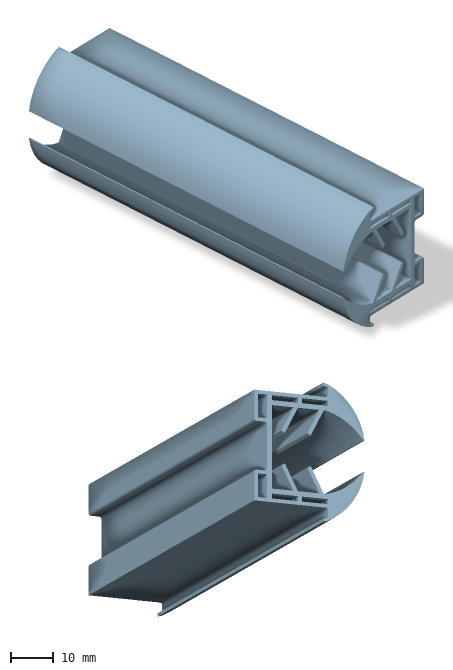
import cadquery as cq
import math

length = 100.0
depth = 28.1
half_height = 33.7 / 2

skin = 0.9
wall = 1.2
flange_top = 13.4
back_chamber_width = 2.4
back_chamber_height = 5.7
flange_chamber_length = 6.7
flange_chamber_height = 1.2
flange_chamber_count = 2
corner_radius = 0.6

web_back = skin + back_chamber_width
web_front = web_back + wall
chamber_top = flange_top - skin
flange_bottom = chamber_top - flange_chamber_height - wall
back_box_bottom = chamber_top - back_chamber_height - skin
chamber_pitch = flange_chamber_length + skin
neck_depth = web_front + flange_chamber_count * chamber_pitch - skin

lip_overhang = 1.2
lip_edge = 0.8
lip_underside = 15.8
tip_height = 3.8
tip_width = 0.3
shoulder_height = 16.5
outer_arc_depth = 25.0
outer_arc_height = 11.4
inner_arc_start = 18.3
inner_arc_depth = 23.6
inner_arc_height = 7.8

fin_root = 10.0
fin_pitch = 6.6
fin_count = 2
fin_length = 6.7
fin_thickness = 1.0
fin_angle = 62.5
fin_embed = 0.6


def sketch():
    """Workplane whose local X is depth from the back and local Y is global Z."""
    return cq.Workplane(cq.Plane(origin=(0, 0, 0), xDir=(0, -1, 0), normal=(-1, 0, 0)))


def block(near, far, bottom, top):
    size = (far - near, top - bottom)
    center = ((near + far) / 2, (bottom + top) / 2)
    return sketch().center(*center).rect(*size).extrude(length)


def upper_body():
    """Web, back box, flange and curved lip above the symmetry plane."""
    body = (
        sketch()
        .moveTo(web_back, 0)
        .lineTo(web_back, back_box_bottom - corner_radius)
        .radiusArc((web_back - corner_radius, back_box_bottom), -corner_radius)
        .lineTo(corner_radius, back_box_bottom)
        .radiusArc((0, back_box_bottom + corner_radius), corner_radius)
        .lineTo(0, flange_top)
        .lineTo(neck_depth - corner_radius, flange_top)
        .radiusArc((neck_depth, flange_top + corner_radius), -corner_radius)
        .lineTo(neck_depth, lip_underside)
        .lineTo(neck_depth - lip_overhang, half_height - lip_edge)
        .lineTo(neck_depth - lip_overhang, half_height)
        .lineTo(neck_depth, shoulder_height)
        .threePointArc((outer_arc_depth, outer_arc_height), (depth, tip_height))
        .lineTo(depth - tip_width, tip_height)
        .threePointArc((inner_arc_depth, inner_arc_height), (inner_arc_start, flange_bottom))
        .lineTo(web_front, flange_bottom)
        .lineTo(web_front, 0)
        .close()
        .extrude(length)
    )
    body = body.cut(block(skin, web_back, chamber_top - back_chamber_height, chamber_top))
    for index in range(flange_chamber_count):
        start = web_front + index * chamber_pitch
        end = start + flange_chamber_length
        body = body.cut(block(start, end, chamber_top - flange_chamber_height, chamber_top))
    return body


def fin(root):
    """Fin sloping inward and back, with its root buried in the flange."""
    slope = math.radians(fin_angle)
    along = (-math.cos(slope), -math.sin(slope))
    across = (math.sin(slope), -math.cos(slope))

    def corner(distance, offset):
        return (
            root + distance * along[0] + offset * across[0],
            flange_bottom + distance * along[1] + offset * across[1],
        )

    corners = [
        corner(-fin_embed, 0),
        corner(fin_length, 0),
        corner(fin_length, fin_thickness),
        corner(-fin_embed, fin_thickness),
    ]
    return sketch().polyline(corners).close().extrude(length)


upper_half = upper_body()
for fin_index in range(fin_count):
    upper_half = upper_half.union(fin(fin_root + fin_index * fin_pitch))

result = upper_half.union(upper_half.mirror("XY")).clean()